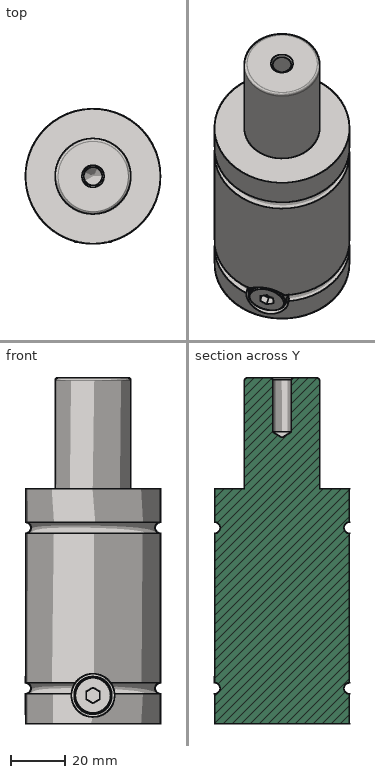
import cadquery as cq
import math

body_diameter = 50.0
body_radius = body_diameter / 2
body_height = 87.0
overall_height = 128.0

groove_radius = 2.0
lower_groove_height = 13.1
upper_groove_height = 72.5

rod_diameter = 28.0
rod_edge_radius = 1.0

tap_drill_diameter = 6.8
tap_countersink_diameter = 8.2
tap_hole_depth = 20.0
drill_point_angle = 118.0

port_height = 10.5
pocket_diameter = 16.0
pocket_depth = 4.0
plug_diameter = 14.0
plug_recess = 0.5
plug_chamfer = 0.5
hex_across_flats = 5.0
hex_depth = 3.0


def make_body():
    """Solid cylinder with a round groove at each groove height."""
    body = cq.Workplane("XY").circle(body_radius).extrude(body_height)
    for height in (lower_groove_height, upper_groove_height):
        ring = cq.Solid.makeTorus(body_radius, groove_radius, cq.Vector(0, 0, height))
        body = body.cut(cq.Workplane(ring))
    return body


def make_rod():
    """Rod with a rounded end edge, standing on the top face of the body."""
    rod_length = overall_height - body_height
    rod = cq.Workplane("XY").workplane(offset=body_height).circle(rod_diameter / 2).extrude(rod_length)
    return rod.faces(">Z").fillet(rod_edge_radius)


def make_tapped_hole():
    """Revolved cutter: 45 degree countersink, straight bore and conical bottom."""
    bore_radius = tap_drill_diameter / 2
    mouth_radius = tap_countersink_diameter / 2
    countersink_depth = mouth_radius - bore_radius
    bore_bottom = overall_height - tap_hole_depth
    point_length = bore_radius / math.tan(math.radians(drill_point_angle / 2))
    profile = [
        (0, overall_height),
        (mouth_radius, overall_height),
        (bore_radius, overall_height - countersink_depth),
        (bore_radius, bore_bottom),
        (0, bore_bottom - point_length),
    ]
    return cq.Workplane("XZ").polyline(profile).close().revolve(360, (0, 0), (0, 1))


def port_plane(depth):
    """Sketch plane facing -Y, centred on the port, at a depth below the body's outermost line."""
    origin = (0, depth - body_radius, port_height)
    return cq.Workplane(cq.Plane(origin=origin, xDir=(1, 0, 0), normal=(0, -1, 0)))


def make_pocket():
    return port_plane(pocket_depth).circle(pocket_diameter / 2).extrude(pocket_depth)


def make_plug():
    """Chamfered plug rising from the pocket floor, with a hexagon socket that has a corner at the top."""
    plug = port_plane(pocket_depth).circle(plug_diameter / 2).extrude(pocket_depth - plug_recess)
    plug = plug.faces("<Y").chamfer(plug_chamfer)
    hex_across_corners = hex_across_flats / math.cos(math.pi / 6)
    socket = port_plane(plug_recess).transformed(rotate=(0, 0, 90)).polygon(6, hex_across_corners)
    return plug.cut(socket.extrude(-hex_depth))


result = make_body().union(make_rod()).cut(make_tapped_hole())
result = result.cut(make_pocket()).union(make_plug())